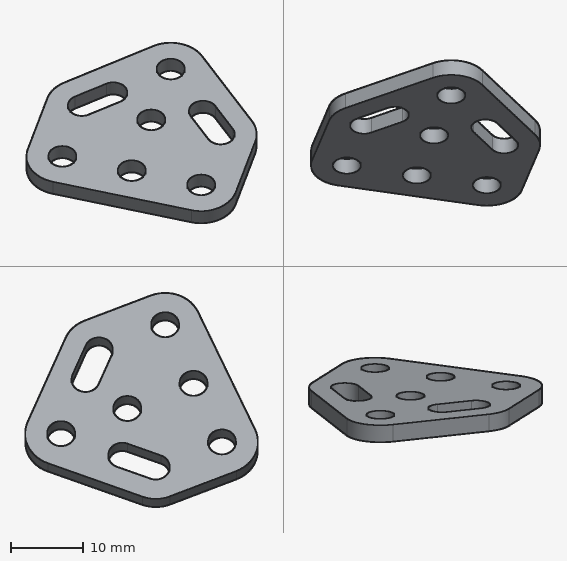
import cadquery as cq
import math

width = 30.0
thickness = 2.5
hole_diameter = 3.9

pitch = width / 3
corner_radius = pitch / 2
slot_travel = pitch / 2
diagonal = math.sqrt(0.5)
rim_offset = corner_radius * diagonal


def make_plate():
    """House-shaped plate, centred on the middle hole, with five rounded corners."""
    half_width = width / 2
    bottom = -pitch - corner_radius
    top = pitch + corner_radius
    corner_in = pitch + rim_offset
    return (
        cq.Workplane("XY")
        .moveTo(-pitch, bottom)
        .lineTo(pitch, bottom)
        .threePointArc((corner_in, -corner_in), (half_width, -pitch))
        .lineTo(half_width, 0)
        .radiusArc((corner_in, rim_offset), -corner_radius)
        .lineTo(rim_offset, corner_in)
        .threePointArc((0, top), (-rim_offset, corner_in))
        .lineTo(-corner_in, rim_offset)
        .radiusArc((-half_width, 0), -corner_radius)
        .lineTo(-half_width, -pitch)
        .threePointArc((-corner_in, -corner_in), (-pitch, bottom))
        .close()
        .extrude(thickness)
    )


def cut_holes(plate):
    """Bottom row of three holes, plus the middle and top holes."""
    centres = [(-pitch, -pitch), (0, -pitch), (pitch, -pitch), (0, 0), (0, pitch)]
    holes = cq.Workplane("XY").pushPoints(centres).circle(hole_diameter / 2).extrude(thickness)
    return plate.cut(holes)


def cut_slots(plate):
    """Mirrored slots running parallel to the sloping edges."""
    for side in (-1, 1):
        middle_x = side * (pitch - slot_travel * diagonal / 2)
        middle_y = slot_travel * diagonal / 2
        slot = (
            cq.Workplane("XY")
            .center(middle_x, middle_y)
            .slot2D(slot_travel + hole_diameter, hole_diameter, -side * 45)
            .extrude(thickness)
        )
        plate = plate.cut(slot)
    return plate


result = cut_slots(cut_holes(make_plate()))